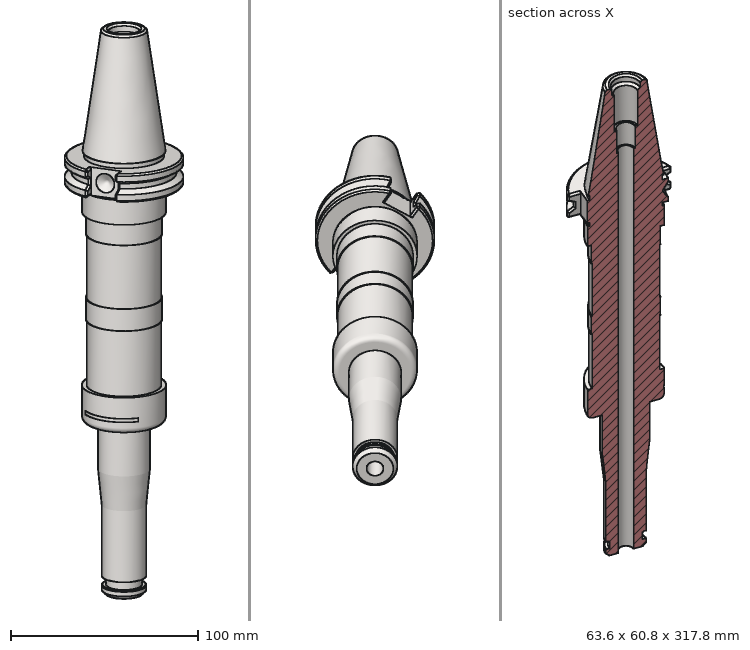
import cadquery as cq
import math


tolerance = 0.01

gauge_diameter = 44.45
taper_length = 68.4
taper_ratio = 7 / 24
taper_top_diameter = gauge_diameter - taper_ratio * taper_length
top_chamfer_height = 1.1
top_face_diameter = 22.2

flange_diameter = 63.55
flange_top = -3.2
flange_bottom = -19.1
flange_middle = (flange_top + flange_bottom) / 2
flange_chamfer = 1.0
groove_floor_diameter = 56.25
groove_center = -11.1
groove_floor_width = 3.0
groove_flank_angle = 30
relief_diameter = 43.0
relief_top = -0.4
relief_bottom = -20.9

slot_width = 16.1
slot_edge_chamfer = 1.2
front_slot_floor = 24.8
back_slot_floor = 22.8
dimple_diameter = 10.7
dimple_cone_angle = 118

collar_diameter = 45.0
collar_bottom = -34.7
body_diameter = 40.0
land_diameter = 40.8
shoulder_bottom = -47.0
ring_top = -82.8
ring_bottom = -95.2

nut_diameter = 45.1
nut_top = -132.0
nut_bottom = -152.4
nut_fillet = 3.3
mark_width = 31.0
mark_height = 2.0
mark_center = -144.8
mark_depth = 0.2

shank_diameter = 28.0
shank_bottom = -179.0
pilot_top = -199.2
pilot_diameter = 24.0
pilot_bottom = -239.3
neck_diameter = 19.5
head_top = -244.2
total_length = 317.75
end_bottom = taper_length - total_length
end_chamfer = 2.2
head_chamfer = 0.5
neck_chamfer = 0.7

mouth_diameter = 18.6
counterbore_diameter = 16.5
mouth_depth = 1.3
counterbore_depth = 4.5
thread_start_depth = 6.0
thread_diameter = 13.53
thread_depth = 30.0
drill_diameter = 10.7
drill_depth = 45.0
bore_diameter = 9.0


def revolve_profile(points):
    """Revolve (diameter, height) points about the Z axis; the profile closes along the axis."""
    first_height = points[0][1]
    last_height = points[-1][1]
    outline = [(0, first_height)]
    outline += [(diameter / 2, height) for diameter, height in points]
    outline.append((0, last_height))
    return cq.Workplane("XZ").polyline(outline).close().revolve(360, (0, 0, 0), (0, 1, 0))


def make_flange_points():
    """Flange outline from top to bottom, with the V-groove and chamfered rims."""
    floor_half = groove_floor_width / 2
    flank_depth = (flange_diameter - groove_floor_diameter) / 2
    rim_half = floor_half + flank_depth * math.tan(math.radians(groove_flank_angle))
    face_diameter = flange_diameter - 2 * flange_chamfer
    return [
        (relief_diameter, flange_top),
        (face_diameter, flange_top),
        (flange_diameter, flange_top - flange_chamfer),
        (flange_diameter, groove_center + rim_half),
        (groove_floor_diameter, groove_center + floor_half),
        (groove_floor_diameter, groove_center - floor_half),
        (flange_diameter, groove_center - rim_half),
        (flange_diameter, flange_bottom + flange_chamfer),
        (face_diameter, flange_bottom),
        (relief_diameter, flange_bottom),
    ]


def make_body():
    """Solid of revolution from the taper top down to the grooved end."""
    taper_points = [
        (top_face_diameter, taper_length),
        (taper_top_diameter + taper_ratio * top_chamfer_height, taper_length - top_chamfer_height),
        (gauge_diameter, 0),
        (gauge_diameter, relief_top),
        (relief_diameter, relief_top),
    ]
    body_points = [
        (relief_diameter, relief_bottom),
        (collar_diameter, relief_bottom),
        (collar_diameter, collar_bottom),
        (land_diameter, collar_bottom),
        (land_diameter, shoulder_bottom),
        (body_diameter, shoulder_bottom),
        (body_diameter, ring_top),
        (land_diameter, ring_top),
        (land_diameter, ring_bottom),
        (body_diameter, ring_bottom),
        (body_diameter, nut_top),
        (nut_diameter, nut_top),
        (nut_diameter, nut_bottom),
    ]
    shank_points = [
        (shank_diameter, nut_bottom),
        (shank_diameter, shank_bottom),
        (pilot_diameter, pilot_top),
        (pilot_diameter, pilot_bottom),
        (neck_diameter + 2 * neck_chamfer, pilot_bottom),
        (neck_diameter, pilot_bottom - neck_chamfer),
        (neck_diameter, head_top),
        (pilot_diameter - 2 * head_chamfer, head_top),
        (pilot_diameter, head_top - head_chamfer),
        (pilot_diameter, end_bottom + end_chamfer),
        (pilot_diameter - 2 * end_chamfer, end_bottom),
    ]
    return revolve_profile(taper_points + make_flange_points() + body_points + shank_points)


def round_nut_edge(body):
    """Fillet the outer bottom edge of the nut."""
    edge_center = cq.Vector(0, 0, nut_bottom)
    edges = [
        edge for edge in body.edges("%CIRCLE").vals()
        if (edge.Center() - edge_center).Length < tolerance and edge.radius() > nut_diameter / 2 - tolerance
    ]
    return body.newObject(edges).fillet(nut_fillet)


def make_bore():
    """Through bore stepping down from the top face."""
    return revolve_profile([
        (mouth_diameter, taper_length),
        (counterbore_diameter, taper_length - mouth_depth),
        (counterbore_diameter, taper_length - counterbore_depth),
        (thread_diameter, taper_length - thread_start_depth),
        (thread_diameter, taper_length - thread_depth),
        (drill_diameter, taper_length - thread_depth),
        (drill_diameter, taper_length - drill_depth),
        (bore_diameter, taper_length - drill_depth),
        (bore_diameter, end_bottom),
    ])


def make_slot(floor, side):
    """Drive slot from its floor out past the rim; side is -1 for -Y and +1 for +Y."""
    depth = flange_diameter / 2
    height = flange_top - flange_bottom
    slot_center = (0, side * (floor + depth / 2), flange_middle)
    return cq.Workplane("XY").box(slot_width, depth, height).translate(slot_center)


def chamfer_slot_edges(body):
    """Chamfer every free edge of the slot walls, leaving the floor corners sharp."""
    half_width = slot_width / 2
    edges = []
    for edge in body.edges().vals():
        box = edge.BoundingBox()
        on_wall = (
            abs(abs(edge.Center().x) - half_width) < tolerance
            and box.xlen < tolerance
            and flange_bottom - tolerance < box.zmin
            and box.zmax < flange_top + tolerance
        )
        y = edge.Center().y
        off_floor = y < -front_slot_floor - tolerance or y > back_slot_floor + tolerance
        if on_wall and off_floor:
            edges.append(edge)
    return body.newObject(edges).chamfer(slot_edge_chamfer)


def make_mark():
    """Shallow recess along the front of the nut."""
    ring = cq.Workplane("XY").circle(nut_diameter / 2).circle(nut_diameter / 2 - mark_depth)
    ring = ring.extrude(mark_height).translate((0, 0, mark_center - mark_height / 2))
    front_block = cq.Workplane("XY").box(mark_width, nut_diameter / 2, nut_diameter)
    return ring.intersect(front_block.translate((0, -nut_diameter / 4, mark_center)))


def make_dimple():
    """Conical dimple pointing from the front slot floor towards the axis."""
    radius = dimple_diameter / 2
    dimple_depth = radius / math.tan(math.radians(dimple_cone_angle / 2))
    mouth = cq.Vector(0, -front_slot_floor, flange_middle)
    return cq.Workplane(cq.Solid.makeCone(radius, 0, dimple_depth, mouth, cq.Vector(0, 1, 0)))


body = round_nut_edge(make_body()).cut(make_bore())
body = body.cut(make_slot(front_slot_floor, -1)).cut(make_slot(back_slot_floor, 1))
body = chamfer_slot_edges(body)
body = body.cut(make_dimple())
result = body.cut(make_mark())